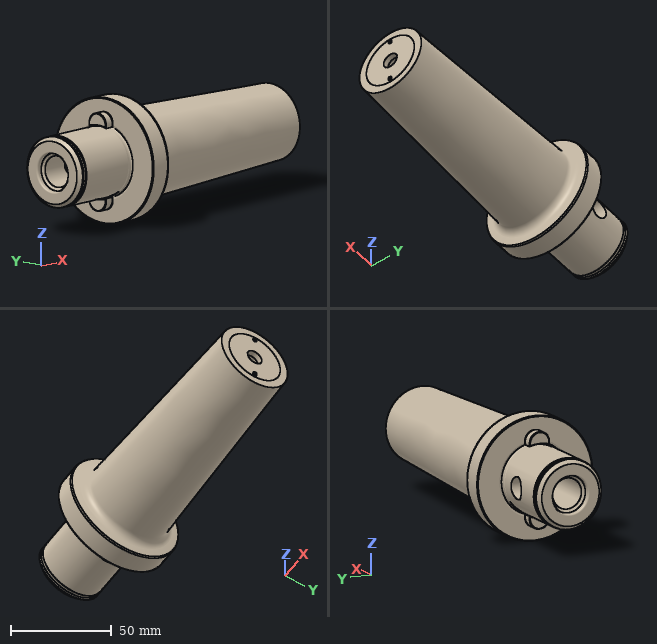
import cadquery as cq
import math

total_length = 169.0
nub_height = 0.5
shank_end_x = total_length - nub_height
flange_front_x = 39.9
flange_back_x = 52.0

spigot_diameter = 36.0
spigot_radius = spigot_diameter / 2
relief_depth = 0.3
tip_chamfer_length = 1.9
tip_face_radius = 15.9
tip_land_end_x = 2.2
tip_relief_start_x = 3.2
tip_relief_end_x = 4.7
root_relief_start_x = 37.3
root_relief_taper = 1.4
undercut_radius = 19.8
undercut_depth = 0.3
undercut_corner = 0.8

flange_diameter = 64.0
flange_radius = flange_diameter / 2
flange_front_chamfer = 0.5
flange_back_chamfer_length = 1.0
flange_back_chamfer_height = 0.3

shank_root_x = 57.3
shank_root_radius = 23.8
shank_end_diameter = 39.4
shank_end_radius = shank_end_diameter / 2
shank_fillet = 4.5
flange_back_slope = math.radians(11)

bore_step_radius = 9.6
bore_radius = 8.0
coolant_radius = 4.2
bore_mouth_round = 1.0
bore_step_depth = 2.9
bore_shoulder_depth = 3.9
bore_depth = 37.2
bore_cone_half_angle = math.radians(59)
bore_cone_length = (bore_radius - coolant_radius) / math.tan(bore_cone_half_angle)

clamp_hole_x = 24.7
clamp_hole_radius = 5.7

key_width = 11.0
key_front_x = 34.8
key_top = 24.8
key_underside_radius = 18.6
key_arc_center = key_top - key_width / 2
key_root_z = 15.2
key_edge_chamfer = 0.3
key_seat_depth = 0.5

plug_radius = 15.2
plug_thickness = 3.4
nub_radius = 1.0
nub_offset = 13.2


def x_cylinder(radius, start_x, end_x, z=0.0):
    """Solid cylinder parallel to X, with its axis at height z."""
    disc = cq.Workplane("YZ", origin=(start_x, 0, z)).circle(radius)
    return disc.extrude(end_x - start_x)


def revolve_about_x(profile):
    """Full turn of a half profile whose sketch coordinates are (x, radius)."""
    return profile.close().revolve(360, (0, 0, 0), (1, 0, 0))


def shank_fillet_point(angle):
    """Point (x, radius) on the shank fillet where its slope leans by angle from the radial plane."""
    x = shank_root_x - shank_fillet * math.cos(angle)
    radius = shank_root_radius + shank_fillet * (1 - math.sin(angle))
    return (x, radius)


def make_turned_body():
    """Spigot, flange and tapered shank as one turned shape, still without holes."""
    relief_radius = spigot_radius - relief_depth
    root_relief_flat_x = root_relief_start_x + root_relief_taper
    undercut_floor_x = flange_front_x + undercut_depth
    corner_x = undercut_floor_x - undercut_corner
    corner_mid = undercut_corner * math.sqrt(0.5)
    corner_top = relief_radius + undercut_corner
    return revolve_about_x(
        cq.Workplane("XY")
        .moveTo(0, 0)
        .lineTo(0, tip_face_radius)
        .lineTo(tip_chamfer_length, spigot_radius)
        .lineTo(tip_land_end_x, spigot_radius)
        .lineTo(tip_relief_start_x, relief_radius)
        .lineTo(tip_relief_end_x, relief_radius)
        .lineTo(tip_relief_end_x + relief_depth, spigot_radius)
        .lineTo(root_relief_start_x, spigot_radius)
        .lineTo(root_relief_flat_x, relief_radius)
        .lineTo(corner_x, relief_radius)
        .threePointArc((corner_x + corner_mid, corner_top - corner_mid), (undercut_floor_x, corner_top))
        .lineTo(flange_front_x, undercut_radius)
        .lineTo(flange_front_x, flange_radius - flange_front_chamfer)
        .lineTo(flange_front_x + flange_front_chamfer, flange_radius)
        .lineTo(flange_back_x - flange_back_chamfer_length, flange_radius)
        .lineTo(flange_back_x, flange_radius - flange_back_chamfer_height)
        .lineTo(*shank_fillet_point(flange_back_slope))
        .threePointArc(
            shank_fillet_point((flange_back_slope + math.pi / 2) / 2),
            (shank_root_x, shank_root_radius),
        )
        .lineTo(shank_end_x, shank_end_radius)
        .lineTo(shank_end_x, 0)
    )


def make_bore():
    """Stepped bore from the spigot tip, narrowing to the coolant channel."""
    mouth_radius = bore_step_radius + bore_mouth_round
    mouth_mid = bore_mouth_round * (1 - math.sqrt(0.5))
    return revolve_about_x(
        cq.Workplane("XY")
        .moveTo(0, 0)
        .lineTo(0, mouth_radius)
        .threePointArc((mouth_mid, bore_step_radius + mouth_mid), (bore_mouth_round, bore_step_radius))
        .lineTo(bore_step_depth, bore_step_radius)
        .lineTo(bore_shoulder_depth, bore_radius)
        .lineTo(bore_depth, bore_radius)
        .lineTo(bore_depth + bore_cone_length, coolant_radius)
        .lineTo(shank_end_x, coolant_radius)
        .lineTo(shank_end_x, 0)
    )


def make_clamp_hole():
    """Radial hole from the +Y side of the spigot into the bore."""
    start = cq.Workplane("XZ", origin=(clamp_hole_x, 0, 0)).circle(clamp_hole_radius)
    return start.extrude(-spigot_radius)


def make_key(angle):
    """Round-crowned key standing on the flange face, turned about X."""
    half_width = key_width / 2
    key = (
        cq.Workplane("YZ", origin=(key_front_x, 0, 0))
        .moveTo(-half_width, key_root_z)
        .lineTo(-half_width, key_arc_center)
        .threePointArc((0, key_top), (half_width, key_arc_center))
        .lineTo(half_width, key_root_z)
        .close()
        .extrude(flange_front_x + key_seat_depth - key_front_x)
    )
    key = key.cut(x_cylinder(key_underside_radius, key_front_x, flange_back_x))
    key = key.faces("<X").chamfer(key_edge_chamfer)
    return key.rotate((0, 0, 0), (1, 0, 0), angle)


def make_end_plug():
    """Ring let into the shank end, with two nubs standing proud of the end face."""
    plug_front_x = shank_end_x - plug_thickness
    plug = x_cylinder(plug_radius, plug_front_x, shank_end_x)
    plug = plug.cut(x_cylinder(coolant_radius, plug_front_x, shank_end_x))
    for z in (nub_offset, -nub_offset):
        plug = plug.union(x_cylinder(nub_radius, plug_front_x, total_length, z=z))
    return plug


keys = [make_key(angle) for angle in (0, 180)]
end_plug = make_end_plug()

arbor = make_turned_body().cut(make_bore()).cut(make_clamp_hole())
arbor = arbor.cut(x_cylinder(plug_radius, shank_end_x - plug_thickness, shank_end_x))
for key in keys:
    arbor = arbor.cut(key)

result = cq.Compound.makeCompound([arbor.val(), *[key.val() for key in keys], end_plug.val()])